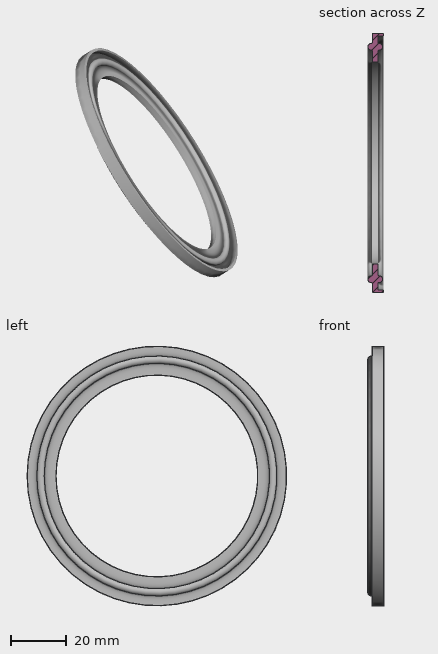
import cadquery as cq

outer_radius = 46.5
bore_radius = 36.1
web_thickness = 2.2
rim_depth = 4.2
rim_wall = 1.0

total_thickness = 5.8
bead_outer_radius = 43.0
bead_width = 2.6
bead_wall = 0.5
root_fillet = 0.2

recess_radius = outer_radius - rim_wall
bead_height = total_thickness - rim_depth
bead_inner_radius = bead_outer_radius - bead_width
bead_mid_radius = bead_outer_radius - bead_width / 2


def revolve_about_x(section):
    """Turn a half section (X axial, Y radial) into a full ring."""
    return section.close().revolve(360, (0, 0, 0), (1, 0, 0))


def make_body():
    """Web from X = 0, with the rim extending past it towards +X."""
    section = (
        cq.Workplane("XY")
        .moveTo(0, bore_radius)
        .lineTo(web_thickness, bore_radius)
        .lineTo(web_thickness, recess_radius)
        .lineTo(rim_depth, recess_radius)
        .lineTo(rim_depth, outer_radius)
        .lineTo(0, outer_radius)
    )
    return revolve_about_x(section)


def make_bead(face_x, direction):
    """Bead with filleted roots, rising from the plane X = face_x along direction (+1 or -1)."""
    wall_start = face_x + direction * root_fillet
    wall_end = face_x + direction * bead_wall
    tip = face_x + direction * bead_height
    buried = web_thickness / 2
    outer_root = bead_outer_radius + root_fillet
    inner_root = bead_inner_radius - root_fillet
    section = (
        cq.Workplane("XY")
        .moveTo(buried, outer_root)
        .lineTo(face_x, outer_root)
        .radiusArc((wall_start, bead_outer_radius), -direction * root_fillet)
        .lineTo(wall_end, bead_outer_radius)
        .threePointArc((tip, bead_mid_radius), (wall_end, bead_inner_radius))
        .lineTo(wall_start, bead_inner_radius)
        .radiusArc((face_x, inner_root), -direction * root_fillet)
        .lineTo(buried, inner_root)
    )
    return revolve_about_x(section)


front_bead = make_bead(0, -1)
rear_bead = make_bead(web_thickness, 1)
result = make_body().union(front_bead).union(rear_bead)